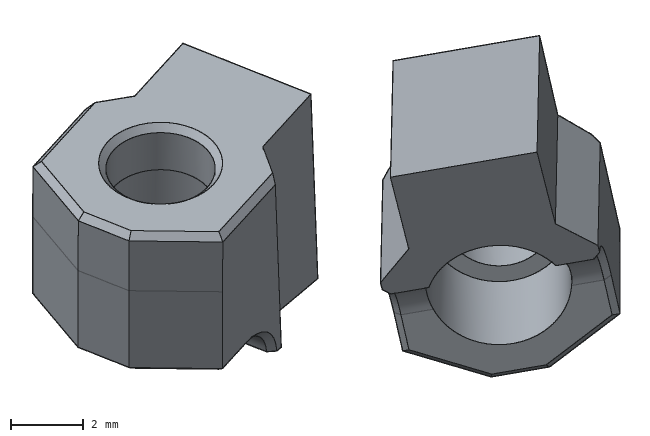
import math

import cadquery as cq

HEIGHT = 5.0
HALF_WIDTH = 3.04
TAIL_WIDTH = 4.1
TOTAL_LENGTH = 8.0
TAIL_LENGTH = TOTAL_LENGTH - HALF_WIDTH
TAIL_DROP = 2.0
LEAN_ANGLE = 3.0
TAIL_BOTTOM_ANGLE = 10.0
SHOULDER_Y = 2.03

FACET_ANGLE = 30.0
DRAFT_ANGLE = 0.5
DRAFT_START_Z = 3.0

RELIEF_RADIUS = 1.44
RELIEF_START_Y = -0.51

RIM_CHAMFER = 0.2
BORE_DIAMETER = 3.0
BORE_CHAMFER = 0.2
COUNTERBORE_DIAMETER = 4.0
COUNTERBORE_TOP_Z = 3.45

MARGIN = 5.0


def tangent(degrees):
    return math.tan(math.radians(degrees))


TOTAL_HEIGHT = HEIGHT + TAIL_DROP
LEAN_SHIFT = TOTAL_HEIGHT * tangent(LEAN_ANGLE)


def leaning_block():
    """Tail, 45 degree shoulders and side faces, swept down along the lean."""
    half_tail = TAIL_WIDTH / 2
    tail_end = TAIL_LENGTH - LEAN_SHIFT
    shoulder_front = SHOULDER_Y - (HALF_WIDTH - half_tail)
    front = -HALF_WIDTH - MARGIN
    half_outline = [
        (HALF_WIDTH, front),
        (HALF_WIDTH, shoulder_front),
        (half_tail, SHOULDER_Y),
        (half_tail, tail_end),
    ]
    other_half = [(-x, y) for x, y in reversed(half_outline)]
    outline = cq.Workplane().workplane(offset=HEIGHT).polyline(half_outline + other_half).close()
    sweep = cq.Vector(0, LEAN_SHIFT, -TOTAL_HEIGHT)
    return cq.Workplane(cq.Solid.extrudeLinear(outline.val(), [], sweep))


def front_facets():
    """Block bounded at the front by the three facets, drafted above DRAFT_START_Z."""
    reach = HALF_WIDTH + MARGIN
    half_middle = HALF_WIDTH * tangent(FACET_ANGLE / 2)
    facet_end_y = -HALF_WIDTH + (reach - half_middle) * tangent(FACET_ANGLE)
    back = TAIL_LENGTH + MARGIN
    half_outline = [(half_middle, -HALF_WIDTH), (reach, facet_end_y), (reach, back)]
    outline = half_outline + [(-x, y) for x, y in reversed(half_outline)]
    lower_plane = cq.Workplane().workplane(offset=-TAIL_DROP)
    lower = lower_plane.polyline(outline).close().extrude(TAIL_DROP + DRAFT_START_Z)
    upper_plane = cq.Workplane().workplane(offset=DRAFT_START_Z)
    upper = upper_plane.polyline(outline).close().extrude(HEIGHT - DRAFT_START_Z, taper=DRAFT_ANGLE)
    return lower.union(upper)


def side_profile():
    """Flat nose underside, concave round and sloping tail underside, across the width."""
    slope = tangent(TAIL_BOTTOM_ANGLE)
    slope_at_start = -TAIL_DROP + (TAIL_LENGTH - RELIEF_START_Y) * slope

    slope_angle = math.radians(TAIL_BOTTOM_ANGLE)
    ratio = (slope_at_start + RELIEF_RADIUS) / RELIEF_RADIUS
    end_angle = slope_angle + math.acos(ratio * math.cos(slope_angle))

    def on_round(angle):
        y = RELIEF_START_Y + RELIEF_RADIUS * math.sin(angle)
        z = RELIEF_RADIUS * (math.cos(angle) - 1)
        return y, z

    return (
        cq.Workplane("YZ")
        .moveTo(-HALF_WIDTH - MARGIN, HEIGHT)
        .lineTo(-HALF_WIDTH - MARGIN, 0)
        .lineTo(RELIEF_START_Y, 0)
        .threePointArc(on_round(end_angle / 2), on_round(end_angle))
        .lineTo(TAIL_LENGTH, -TAIL_DROP)
        .lineTo(TAIL_LENGTH, HEIGHT)
        .close()
        .extrude(HALF_WIDTH + MARGIN, both=True)
    )


def chamfer_rims(body):
    """Chamfer the top and bottom rims of the nose and the sides of the round."""
    top_rim = body.faces(">Z").edges().filter(lambda edge: edge.Center().y < 0)
    body = top_rim.chamfer(RIM_CHAMFER)
    underside = body.faces(cq.NearestToPointSelector((0, -HALF_WIDTH / 2, 0)))
    flat_rim = underside.edges().filter(lambda edge: edge.Center().y < RELIEF_START_Y - RIM_CHAMFER)
    return flat_rim.add(body.edges("%CIRCLE")).chamfer(RIM_CHAMFER)


def bore_tool():
    """Through bore with a chamfered mouth, counterbored from below."""
    bore_radius = BORE_DIAMETER / 2
    counterbore_radius = COUNTERBORE_DIAMETER / 2
    return (
        cq.Workplane("XZ")
        .moveTo(0, -TAIL_DROP)
        .lineTo(counterbore_radius, -TAIL_DROP)
        .lineTo(counterbore_radius, COUNTERBORE_TOP_Z)
        .lineTo(bore_radius, COUNTERBORE_TOP_Z)
        .lineTo(bore_radius, HEIGHT - BORE_CHAMFER)
        .lineTo(bore_radius + BORE_CHAMFER, HEIGHT)
        .lineTo(0, HEIGHT)
        .close()
        .revolve()
    )


blank = leaning_block().intersect(front_facets()).intersect(side_profile())
result = chamfer_rims(blank).cut(bore_tool())